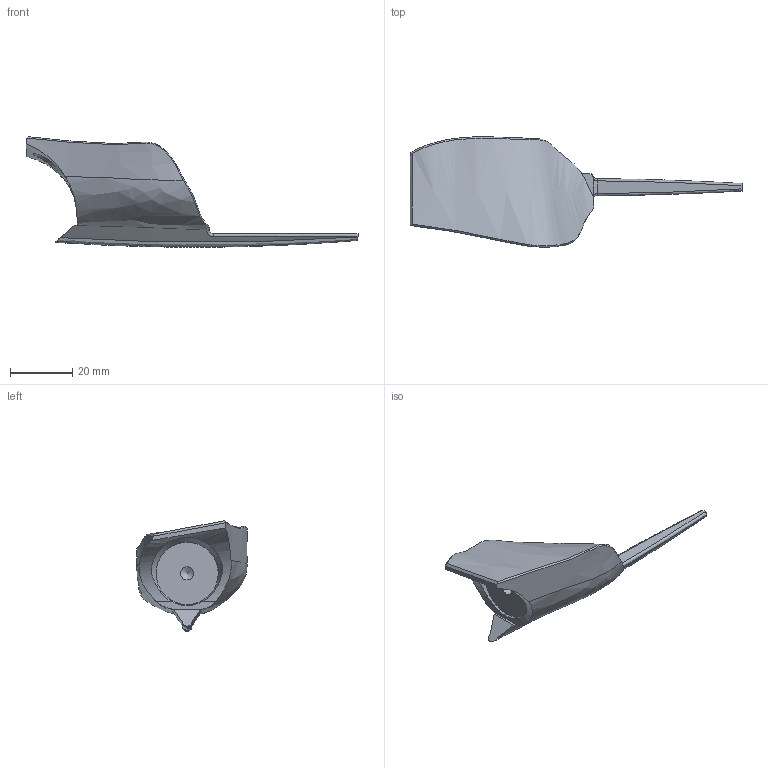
import cadquery as cq
import math



LENGTH = 106.66
HULL_LENGTH = 62.0
TOOL_SIDE_REACH = 25.0
HULL_HEADROOM = 20.0

HULL_STATIONS = [
    (0.0, -12.3, 11.0, 4.0, 3.0, -11.2),
    (9.0, -13.6, 14.6, 4.0, 3.0, -11.4),
    (21.5, -15.7, 16.15, 4.0, 2.0, -11.8),
    (43.0, -19.3, 15.6, 3.0, -4.0, -12.4),
    (50.0, -18.6, 15.6, 3.0, -4.0, -12.7),
    (HULL_LENGTH, -12.5, 15.6, 1.0, -4.0, -13.2),
]
HULL_FLAT_HALF_WIDTH = 3.0
BILGE_FULLNESS = 0.68

NEAR_RIM = [
    (0.0, 17.8), (8.0, 17.0), (15.0, 16.1), (22.0, 15.5), (32.0, 14.5), (41.0, 14.0),
    (46.0, 10.3), (50.5, 3.3), (54.2, -2.2), (57.0, -7.5), (59.0, -10.0),
]
FAR_RIM = [
    (0.0, 11.6), (8.0, 11.1), (13.0, 9.0), (21.5, 8.4), (30.0, 4.5), (37.0, 0.0),
    (43.0, -6.0), (48.0, -12.3), (52.0, -15.0), (55.5, -16.5), (59.0, -17.0),
]
NEAR_RIM_Y = -17.0
FAR_RIM_Y = 16.0
TOP_CROWN = 0.1
RIM_CHAMFER = 0.5
FRONT_BEVEL = 0.7
SHORTEST_SIDE_RIM = 10.0

NOTCH_MOUTH_X = -3.0
NOTCH_MOUTH_Z = 13.1
NOTCH_MOUTH_TILT = -0.2
NOTCH_SHOULDER_X = 11.0
NOTCH_SHOULDER_Z = 5.6
NOTCH_SHOULDER_TILT = -0.07
NOTCH_DEEP_X = 16.4
NOTCH_DEEP_Z = -9.0
SOCKET_FLOOR_X = 17.0
SOCKET_FLOOR_RADIUS = 10.0
SOCKET_RADIUS = 11.6
SOCKET_FLARE = 3.0
PILOT_RADIUS = 2.1
PILOT_DEPTH = 6.0
DRILL_POINT_ANGLE = 118.0

KEEL_FRONT_X = 9.4
KEEL_FRONT_Z = -17.0
KEEL_ROOT_X = 16.2
KEEL_ROOT_Z = -11.0
KEEL_TOP_Z = -11.5
KEEL_LOW_X = 45.0
KEEL_LOW_Z = -18.52
OUTLINE_LOW_Z = KEEL_LOW_Z - 1.0
TAIL_END_LOW_Z = -16.4
TAIL_TOP_Z = -14.2
TAIL_START_X = 58.8
KEEL_FLANK = 0.64
KEEL_TIP_HALF_WIDTH = 1.6
TAIL_TIP_HALF_WIDTH = 1.1
TAIL_ROOT_FILLET = 1.4
TAIL_EDGE_FILLET = 0.7


def bilge_point(flat_y, wall_y, knee_z, bottom):
    """Middle of the rounded bilge between the flat bottom and an upright wall."""
    return (
        flat_y + BILGE_FULLNESS * (wall_y - flat_y),
        knee_z + BILGE_FULLNESS * (bottom - knee_z),
    )


def hull_section(station):
    """U-shaped section with upright walls and rounded bilges, open height above the rims."""
    x, near, far, near_knee, far_knee, bottom = station
    down, left, up = (0, -1), (-1, 0), (0, 1)
    near_bilge = bilge_point(-HULL_FLAT_HALF_WIDTH, near, near_knee, bottom)
    far_bilge = bilge_point(HULL_FLAT_HALF_WIDTH, far, far_knee, bottom)
    return (
        cq.Workplane("YZ", origin=(x, 0, 0))
        .moveTo(near, HULL_HEADROOM)
        .lineTo(far, HULL_HEADROOM)
        .lineTo(far, far_knee)
        .spline([far_bilge, (HULL_FLAT_HALF_WIDTH, bottom)], tangents=[down, left], includeCurrent=True)
        .lineTo(-HULL_FLAT_HALF_WIDTH, bottom)
        .spline([near_bilge, (near, near_knee)], tangents=[left, up], includeCurrent=True)
        .close()
        .wires()
        .val()
    )


def top_profile(rim, y):
    """Closed XZ profile below one rim, bevelled at the front and placed at a given Y."""
    front_x, front_z = rim[0]
    rear_x = rim[-1][0]
    bevel_end = (front_x + FRONT_BEVEL, front_z)
    points = [cq.Vector(x, y, z) for x, z in [bevel_end] + rim[1:]]
    bevel_start = cq.Vector(front_x, y, front_z - FRONT_BEVEL)
    front_low = cq.Vector(front_x, y, KEEL_LOW_Z)
    rear_low = cq.Vector(rear_x, y, KEEL_LOW_Z)
    edges = [
        cq.Edge.makeSpline(points),
        cq.Edge.makeLine(points[-1], rear_low),
        cq.Edge.makeLine(rear_low, front_low),
        cq.Edge.makeLine(front_low, bevel_start),
        cq.Edge.makeLine(bevel_start, points[0]),
    ]
    return cq.Wire.assembleEdges(edges)


def rim_at(y):
    """XZ points of the top at any Y: a blend of the two rims with a low crown between them."""
    share = (y - NEAR_RIM_Y) / (FAR_RIM_Y - NEAR_RIM_Y)
    crown = 4 * TOP_CROWN * share * (1 - share)
    return [
        (near_x + share * (far_x - near_x), near_z + share * (far_z - near_z) + crown)
        for (near_x, near_z), (far_x, far_z) in zip(NEAR_RIM, FAR_RIM)
    ]


def make_body():
    hull = cq.Solid.makeLoft([hull_section(s) for s in HULL_STATIONS])
    below_top = cq.Solid.makeLoft(
        [top_profile(rim_at(y), y) for y in (-TOOL_SIDE_REACH, 0, TOOL_SIDE_REACH)]
    )
    body = cq.Workplane(hull).intersect(cq.Workplane(below_top))
    top_face = body.faces(cq.selectors.AreaNthSelector(-1))
    side_rims = top_face.edges("not <X").filter(lambda edge: edge.Length() > SHORTEST_SIDE_RIM)
    return side_rims.chamfer(RIM_CHAMFER)


def notch_profile(y):
    """Closed XZ profile in front of the notch arc, whose upper end sinks towards +Y."""
    start = (NOTCH_MOUTH_X, NOTCH_MOUTH_Z + NOTCH_MOUTH_TILT * y)
    shoulder = (NOTCH_SHOULDER_X, NOTCH_SHOULDER_Z + NOTCH_SHOULDER_TILT * y)
    return (
        cq.Workplane("XZ", origin=(0, y, 0))
        .moveTo(*start)
        .threePointArc(shoulder, (NOTCH_DEEP_X, NOTCH_DEEP_Z))
        .lineTo(NOTCH_DEEP_X, KEEL_LOW_Z)
        .lineTo(NOTCH_MOUTH_X, KEEL_LOW_Z)
        .close()
        .wires()
        .val()
    )


def make_notch():
    return cq.Workplane(
        cq.Solid.makeLoft([notch_profile(y) for y in (-TOOL_SIDE_REACH, TOOL_SIDE_REACH)], True)
    )


def make_socket():
    """Flat-floored round socket with a flared wall and a pilot hole in its floor."""
    pilot_end = SOCKET_FLOOR_X + PILOT_DEPTH
    pilot_tip = pilot_end + PILOT_RADIUS / math.tan(math.radians(DRILL_POINT_ANGLE / 2))
    return (
        cq.Workplane("XY")
        .moveTo(0, 0)
        .lineTo(pilot_tip, 0)
        .lineTo(pilot_end, PILOT_RADIUS)
        .lineTo(SOCKET_FLOOR_X, PILOT_RADIUS)
        .lineTo(SOCKET_FLOOR_X, SOCKET_FLOOR_RADIUS)
        .lineTo(SOCKET_FLOOR_X - SOCKET_FLARE, SOCKET_RADIUS)
        .lineTo(0, SOCKET_RADIUS)
        .close()
        .revolve(360, (0, 0, 0), (1, 0, 0))
    )


def keel_section(x, low_z, tip_half_width):
    """Wedge section, narrow and rounded at the bottom."""
    top_half_width = tip_half_width + KEEL_FLANK * (KEEL_TOP_Z - low_z - tip_half_width)
    tip_z = low_z + tip_half_width
    return (
        cq.Workplane("YZ", origin=(x, 0, 0))
        .moveTo(-top_half_width, KEEL_TOP_Z)
        .lineTo(-tip_half_width, tip_z)
        .threePointArc((0, low_z), (tip_half_width, tip_z))
        .lineTo(top_half_width, KEEL_TOP_Z)
        .close()
        .wires()
        .val()
    )


def make_keel():
    wedge = cq.Solid.makeLoft([
        keel_section(KEEL_FRONT_X, KEEL_FRONT_Z, KEEL_TIP_HALF_WIDTH),
        keel_section(KEEL_LOW_X, KEEL_LOW_Z, KEEL_TIP_HALF_WIDTH),
        keel_section(LENGTH, TAIL_END_LOW_Z, TAIL_TIP_HALF_WIDTH),
    ])
    side_outline = (
        cq.Workplane("XZ", origin=(0, TOOL_SIDE_REACH, 0))
        .moveTo(KEEL_FRONT_X, KEEL_FRONT_Z)
        .lineTo(KEEL_ROOT_X, KEEL_ROOT_Z)
        .lineTo(TAIL_START_X, TAIL_TOP_Z + TAIL_ROOT_FILLET)
        .radiusArc((TAIL_START_X + TAIL_ROOT_FILLET, TAIL_TOP_Z), -TAIL_ROOT_FILLET)
        .lineTo(LENGTH, TAIL_TOP_Z)
        .lineTo(LENGTH, OUTLINE_LOW_Z)
        .lineTo(KEEL_FRONT_X, OUTLINE_LOW_Z)
        .close()
        .extrude(2 * TOOL_SIDE_REACH)
    )
    keel = cq.Workplane(wedge).intersect(side_outline)
    tail_top = keel.faces("+Z").faces(">X")
    return tail_top.edges("not |Y").fillet(TAIL_EDGE_FILLET)


result = make_body().cut(make_notch()).cut(make_socket()).union(make_keel()).solids()